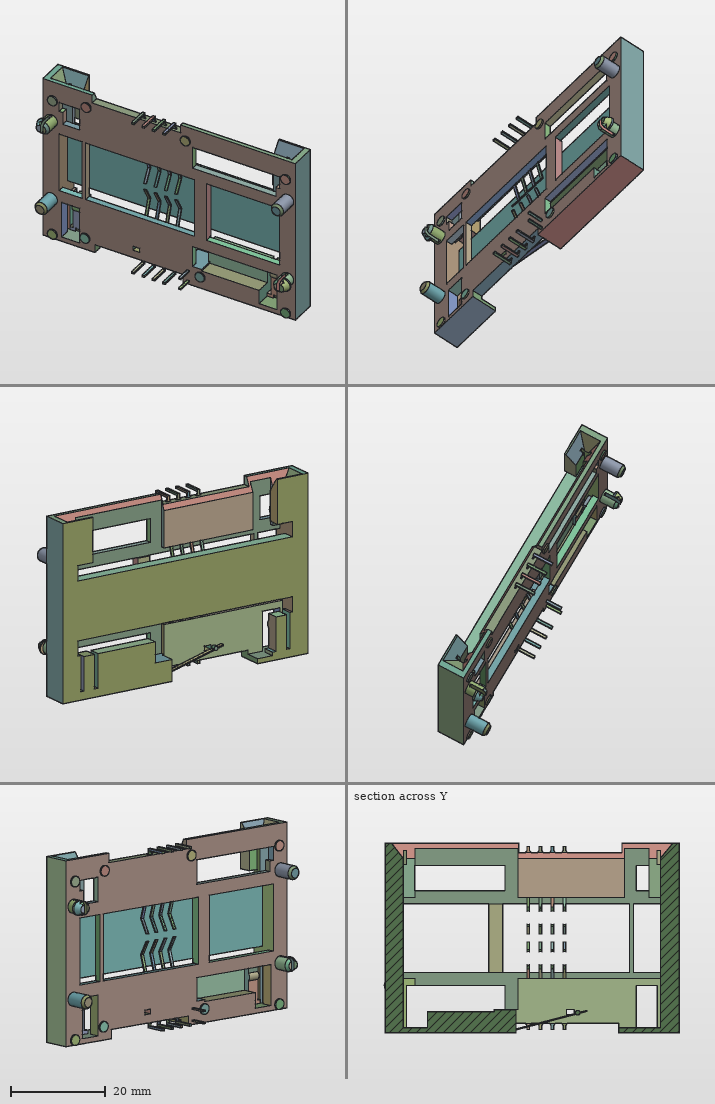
import cadquery as cq


WIDTH = 62.0
DEPTH = 6.2
HEIGHT = 40.0

SLOT_LEFT = 4.0
SLOT_RIGHT = 58.16
SLOT_FRONT = 2.45
SLOT_BACK = 3.4
MOUTH_SIDE_WALL = 1.35
MOUTH_FRONT_WALL = 0.95
MOUTH_BACK_WALL = 0.4
LEAD_IN_DEPTH = 3.2
FLOOR = 1.13
GROOVE_WIDTH = 0.65
GROOVE_FRONT = 1.7
GROOVE_BACK = 4.1
GROOVE_BOTTOM = 35.5

NOTCH_DEPTH = 2.0
TOP_NOTCH_LEFT = 12.1
TOP_NOTCH_RIGHT = 33.8
BOTTOM_NOTCH_LEFT = 12.8
BOTTOM_NOTCH_RIGHT = 34.4

RECESS_FRONT = 1.47
BAR_BACK = 1.9
RECESS_BOTTOM = 11.5
RECESS_TOP = 28.5
LEFT_RECESS_START = 6.4
LEFT_RECESS_END = 11.5
RIGHT_RECESS_START = 33.95
RIGHT_RECESS_END = 55.75
UPPER_WINDOW_BOTTOM = 30.0
UPPER_WINDOW_TOP = 35.27
MIDDLE_WINDOW_BOTTOM = 12.76
MIDDLE_WINDOW_TOP = 27.2
MIDDLE_WINDOWS = [(SLOT_LEFT, 9.6), (10.54, 37.19), (40.2, SLOT_RIGHT)]
LOWER_WINDOW_TOP = 9.94
LEFT_WINDOW_RIGHT = 9.04
RIGHT_WINDOW_LEFT = 36.77
LEFT_STEP_X = 4.9
LEFT_STEP_Z = 33.0
RIGHT_STEP_X = 57.2
RIGHT_STEP_Z = 32.27
SWITCH_WINDOW = (22.15, 23.75)
SWITCH_WINDOW_BOTTOM = 3.9
SWITCH_WINDOW_TOP = 4.9

BACK_NOTCH_LEFT = 7.76
BACK_NOTCH_RIGHT = 54.4
BAND_BOTTOM = 13.3
BAND_TOP = 26.6
BLOCK_LEFT = 38.65
BLOCK_STEP_X = 39.0
BLOCK_RIGHT = 53.1
BLOCK_TOP = 9.56
BLOCK_FLOOR = 4.5
SHELF_FLOOR = 4.88

CLIP_WIDTH = 2.65
CLIP_LEFTS = [5.45, 54.05]
CLIP_SLOTS = [(4.65, LEFT_WINDOW_RIGHT), (BLOCK_RIGHT, 57.45)]
CLIP_FRONT = 3.3
CLIP_TOP = BLOCK_TOP
CLIP_BASE_TOP = 1.9
CLIP_NOTCH_WIDTH = 1.5
BUMP_BOTTOM = 6.35
BUMP_TOP = 8.05
BUMP_RISE = 0.4

PEG_RADIUS = 1.5
PEG_LENGTH = 4.8
PEG_TIP_RADIUS = 1.05
PEG_TIP_LENGTH = 0.6
PEG_LEFT = 2.1
PEG_RIGHT = 60.1
PEG_LOW = 10.0
PEG_HIGH = 30.0
SNAP_LENGTH = 3.95
SNAP_TIP_LENGTH = 0.7
SNAP_TIP_RADIUS = 1.0
BARB_RADIUS = 1.55
BARB_SHIFT = 0.54
BARB_START = 2.1
BARB_RIM = 0.4
BARB_TIP_RADIUS = 0.85
SPLIT_WIDTH = 0.65
SPLIT_START = 0.35

PAD_RADIUS = 1.15
PAD_HEIGHT = 0.35
PAD_CENTERS = [
    (2.44, 35.27), (10.73, 36.47), (35.08, 36.47), (59.7, 35.27),
    (2.44, 1.16), (10.43, 2.96), (38.69, 2.96), (59.7, 1.16),
]

CONTACT_COUNT = 4
CONTACT_PITCH = 2.54
FIRST_CONTACT_X = 24.2
CONTACT_WIDTH = 0.6
CONTACT_THICKNESS = 0.3
CONTACT_ROOT_Y = 1.55
CONTACT_ROOT_Z = 11.0
CONTACT_BEND_Y = 3.1
CONTACT_BEND_Z = 16.1
CONTACT_TIP_Y = 1.4
CONTACT_TIP_Z = 19.2
PIN_REACH = 3.55
PIN_TAIL_Y = 0.95
PIN_BOTTOM = 0.7
PIN_TOP = 1.15
FLARE_WIDTH = 1.2
FLARE_END = 1.55
SWITCH_PIN_X = 35.7
SWITCH_PIN_CENTERS = [3.45, 0.85]

LEAF_TIP_X = 19.5
LEAF_TIP_Z = 4.5
LEAF_ROOT_Z = 0.6
LEAF_THICKNESS = 0.25
LEAF_BEAD_X = 21.4
LEAF_BEAD_RADIUS = 0.5


def box(x0, x1, y0, y1, z0, z1):
    """Box between opposite corners."""
    return cq.Workplane("XY").box(x1 - x0, y1 - y0, z1 - z0, centered=False).translate((x0, y0, z0))


def prism_along_y(points, y0, y1):
    """Polygon of (x, z) points extruded from y0 to y1."""
    return cq.Workplane("XZ", origin=(0, y0, 0)).polyline(points).close().extrude(y0 - y1)


def prism_along_x(points, x0, x1):
    """Polygon of (y, z) points extruded from x0 to x1."""
    return cq.Workplane("YZ", origin=(x0, 0, 0)).polyline(points).close().extrude(x1 - x0)


def lead_in():
    """Funnel that narrows from the top mouth to the card slot."""
    mouth_right = WIDTH - MOUTH_SIDE_WALL
    mouth_back = DEPTH - MOUTH_BACK_WALL
    return (
        cq.Workplane("XY", origin=(0, 0, HEIGHT))
        .moveTo((MOUTH_SIDE_WALL + mouth_right) / 2, (MOUTH_FRONT_WALL + mouth_back) / 2)
        .rect(mouth_right - MOUTH_SIDE_WALL, mouth_back - MOUTH_FRONT_WALL)
        .workplane(offset=-LEAD_IN_DEPTH)
        .moveTo((SLOT_LEFT + SLOT_RIGHT) / 2, (SLOT_FRONT + SLOT_BACK) / 2)
        .rect(SLOT_RIGHT - SLOT_LEFT, SLOT_BACK - SLOT_FRONT)
        .loft(combine=True)
    )


def cut_card_slot(body):
    slot = prism_along_y(
        [
            (SLOT_LEFT, HEIGHT), (SLOT_LEFT, FLOOR), (BOTTOM_NOTCH_RIGHT, FLOOR),
            (BOTTOM_NOTCH_RIGHT, SHELF_FLOOR), (BLOCK_STEP_X, SHELF_FLOOR), (BLOCK_STEP_X, BLOCK_FLOOR),
            (BLOCK_RIGHT, BLOCK_FLOOR), (BLOCK_RIGHT, FLOOR), (SLOT_RIGHT, FLOOR), (SLOT_RIGHT, HEIGHT),
        ],
        SLOT_FRONT,
        SLOT_BACK,
    )
    body = body.cut(slot).cut(lead_in())
    for x in (SLOT_LEFT, SLOT_RIGHT - GROOVE_WIDTH):
        body = body.cut(box(x, x + GROOVE_WIDTH, GROOVE_FRONT, GROOVE_BACK, GROOVE_BOTTOM, HEIGHT))
    return body


def cut_front_plate(body):
    body = body.cut(box(TOP_NOTCH_LEFT, TOP_NOTCH_RIGHT, 0, SLOT_BACK, HEIGHT - NOTCH_DEPTH, HEIGHT))
    body = body.cut(box(BOTTOM_NOTCH_LEFT, BOTTOM_NOTCH_RIGHT, 0, SLOT_FRONT, 0, NOTCH_DEPTH))

    body = body.cut(box(SLOT_LEFT, SLOT_RIGHT, RECESS_FRONT, SLOT_FRONT, RECESS_BOTTOM, RECESS_TOP))
    body = body.cut(box(LEFT_RECESS_START, LEFT_RECESS_END, RECESS_FRONT, SLOT_FRONT, RECESS_TOP, HEIGHT))
    body = body.cut(prism_along_y(
        [
            (RIGHT_RECESS_START, HEIGHT), (RIGHT_RECESS_START, SHELF_FLOOR), (BLOCK_STEP_X, SHELF_FLOOR),
            (BLOCK_STEP_X, BLOCK_FLOOR), (BLOCK_RIGHT, BLOCK_FLOOR), (BLOCK_RIGHT, FLOOR),
            (RIGHT_RECESS_END, FLOOR), (RIGHT_RECESS_END, HEIGHT),
        ],
        RECESS_FRONT,
        SLOT_FRONT,
    ))

    bar_left = MIDDLE_WINDOWS[1][1]
    bar_right = MIDDLE_WINDOWS[2][0]
    bar = box(bar_left, bar_right, RECESS_FRONT, BAR_BACK, MIDDLE_WINDOW_BOTTOM, MIDDLE_WINDOW_TOP)
    body = body.union(bar)

    body = body.cut(prism_along_y(
        [
            (SLOT_LEFT, UPPER_WINDOW_TOP), (SLOT_LEFT, LEFT_STEP_Z), (LEFT_STEP_X, LEFT_STEP_Z),
            (LEFT_STEP_X, UPPER_WINDOW_BOTTOM), (LEFT_WINDOW_RIGHT, UPPER_WINDOW_BOTTOM),
            (LEFT_WINDOW_RIGHT, UPPER_WINDOW_TOP),
        ],
        0,
        RECESS_FRONT,
    ))
    body = body.cut(prism_along_y(
        [
            (RIGHT_WINDOW_LEFT, UPPER_WINDOW_TOP), (RIGHT_WINDOW_LEFT, UPPER_WINDOW_BOTTOM),
            (RIGHT_STEP_X, UPPER_WINDOW_BOTTOM), (RIGHT_STEP_X, RIGHT_STEP_Z),
            (SLOT_RIGHT, RIGHT_STEP_Z), (SLOT_RIGHT, UPPER_WINDOW_TOP),
        ],
        0,
        RECESS_FRONT,
    ))

    for x0, x1 in MIDDLE_WINDOWS:
        body = body.cut(box(x0, x1, 0, SLOT_FRONT, MIDDLE_WINDOW_BOTTOM, MIDDLE_WINDOW_TOP))

    for x0, x1 in CLIP_SLOTS:
        body = body.cut(box(x0, x1, 0, SLOT_FRONT, FLOOR, LOWER_WINDOW_TOP))
    body = body.cut(box(RIGHT_WINDOW_LEFT, BLOCK_STEP_X, 0, SLOT_FRONT, SHELF_FLOOR, LOWER_WINDOW_TOP))
    body = body.cut(box(BLOCK_STEP_X, BLOCK_RIGHT, 0, SLOT_FRONT, BLOCK_FLOOR, LOWER_WINDOW_TOP))
    return body.cut(box(*SWITCH_WINDOW, 0, SLOT_FRONT, SWITCH_WINDOW_BOTTOM, SWITCH_WINDOW_TOP))


def cut_back_wall(body):
    openings = [
        (BACK_NOTCH_LEFT, BACK_NOTCH_RIGHT, BAND_TOP, HEIGHT),
        (SLOT_LEFT, SLOT_RIGHT, BAND_TOP, UPPER_WINDOW_BOTTOM),
        (SLOT_LEFT, SLOT_RIGHT, LOWER_WINDOW_TOP, BAND_BOTTOM),
        (CLIP_SLOTS[0][0], CLIP_SLOTS[1][1], BLOCK_TOP, BAND_BOTTOM),
        (CLIP_SLOTS[0][0], BOTTOM_NOTCH_RIGHT, FLOOR, BAND_BOTTOM),
        (BOTTOM_NOTCH_RIGHT, BLOCK_LEFT, SHELF_FLOOR, BAND_BOTTOM),
        (BLOCK_RIGHT, CLIP_SLOTS[1][1], FLOOR, BAND_BOTTOM),
    ]
    for x0, x1, z0, z1 in openings:
        body = body.cut(box(x0, x1, SLOT_BACK, DEPTH, z0, z1))
    return body.cut(box(BOTTOM_NOTCH_LEFT, BOTTOM_NOTCH_RIGHT, SLOT_FRONT, DEPTH, 0, FLOOR))


def clip(left, slot):
    """Upright spring clip with a rounded detent, standing on a base across its slot."""
    right = left + CLIP_WIDTH
    middle = left + CLIP_WIDTH / 2
    profile = (
        cq.Workplane("YZ", origin=(left, 0, 0))
        .moveTo(DEPTH, FLOOR)
        .lineTo(CLIP_FRONT, FLOOR)
        .lineTo(CLIP_FRONT, BUMP_BOTTOM)
        .threePointArc((CLIP_FRONT - BUMP_RISE, (BUMP_BOTTOM + BUMP_TOP) / 2), (CLIP_FRONT, BUMP_TOP))
        .lineTo(CLIP_FRONT, CLIP_TOP)
        .lineTo(DEPTH, CLIP_TOP)
        .close()
        .extrude(right - left)
    )
    base = box(slot[0], slot[1], CLIP_FRONT, DEPTH, 0, CLIP_BASE_TOP)
    notch = box(
        middle - CLIP_NOTCH_WIDTH / 2, middle + CLIP_NOTCH_WIDTH / 2,
        CLIP_FRONT, CLIP_FRONT + BUMP_RISE, FLOOR, CLIP_BASE_TOP,
    )
    return profile.union(base).cut(notch)


def turned(profile):
    """Solid of revolution about the Y axis from (radius, y) points."""
    return cq.Workplane("XY").polyline(profile).close().revolve(360, (0, 0, 0), (0, 1, 0))


def tipped_peg(length, tip_length, tip_radius):
    """Round peg along -Y with a conical tip."""
    return turned([
        (0, 0), (PEG_RADIUS, 0), (PEG_RADIUS, tip_length - length), (tip_radius, -length), (0, -length),
    ])


def peg(x, z):
    """Plain locating peg."""
    return tipped_peg(PEG_LENGTH, PEG_TIP_LENGTH, PEG_TIP_RADIUS).translate((x, 0, z))


def snap_peg(x, z, side):
    """Split peg with an offset conical barb on its outer half; side is -1 (left) or +1 (right)."""
    barb = turned([
        (0, -BARB_START), (BARB_RADIUS, -BARB_START), (BARB_RADIUS, -BARB_START - BARB_RIM),
        (BARB_TIP_RADIUS, -SNAP_LENGTH), (0, -SNAP_LENGTH),
    ]).translate((side * BARB_SHIFT, 0, 0))
    outer_x = side * (BARB_RADIUS + BARB_SHIFT)
    outer_half = box(min(0, outer_x), max(0, outer_x), -SNAP_LENGTH, 0, -BARB_RADIUS, BARB_RADIUS)
    split = box(-SPLIT_WIDTH / 2, SPLIT_WIDTH / 2, -SNAP_LENGTH, -SPLIT_START, -BARB_RADIUS, BARB_RADIUS)
    shaft = tipped_peg(SNAP_LENGTH, SNAP_TIP_LENGTH, SNAP_TIP_RADIUS)
    return shaft.union(barb.intersect(outer_half)).cut(split).translate((x, 0, z))


def pad(x, z):
    return cq.Workplane("XZ").center(x, z).circle(PAD_RADIUS).extrude(PAD_HEIGHT)


def contact(x):
    """Lower contact: bent spring arm plus a flared tail and a pin to -Y."""
    half = CONTACT_WIDTH / 2
    t = CONTACT_THICKNESS
    arm = prism_along_x(
        [
            (CONTACT_ROOT_Y, CONTACT_ROOT_Z), (CONTACT_BEND_Y, CONTACT_BEND_Z),
            (CONTACT_TIP_Y, CONTACT_TIP_Z),
            (CONTACT_TIP_Y + t, CONTACT_TIP_Z), (CONTACT_BEND_Y + t, CONTACT_BEND_Z),
            (CONTACT_ROOT_Y + t, CONTACT_ROOT_Z),
        ],
        x - half,
        x + half,
    )
    flare_half = FLARE_WIDTH / 2
    tail = prism_along_y(
        [
            (x - flare_half, NOTCH_DEPTH), (x - half, FLARE_END), (x - half, PIN_BOTTOM),
            (x + half, PIN_BOTTOM), (x + half, FLARE_END), (x + flare_half, NOTCH_DEPTH),
        ],
        PIN_TAIL_Y - t,
        PIN_TAIL_Y,
    )
    pin = box(x - half, x + half, -PIN_REACH, PIN_TAIL_Y, PIN_BOTTOM, PIN_TOP)
    return arm.union(tail).union(pin)


def switch_leaf():
    """Sloping leaf spring with a round contact bead, lying across the bottom of the card slot."""
    strip = prism_along_y(
        [
            (BOTTOM_NOTCH_RIGHT, LEAF_ROOT_Z), (LEAF_TIP_X, LEAF_TIP_Z),
            (LEAF_TIP_X, LEAF_TIP_Z + LEAF_THICKNESS), (BOTTOM_NOTCH_RIGHT, LEAF_ROOT_Z + LEAF_THICKNESS),
        ],
        SLOT_FRONT,
        SLOT_BACK,
    )
    slope = (LEAF_ROOT_Z - LEAF_TIP_Z) / (BOTTOM_NOTCH_RIGHT - LEAF_TIP_X)
    bead_z = LEAF_TIP_Z + slope * (LEAF_BEAD_X - LEAF_TIP_X) + LEAF_THICKNESS
    bead = (
        cq.Workplane("XZ", origin=(LEAF_BEAD_X, SLOT_FRONT, bead_z))
        .circle(LEAF_BEAD_RADIUS)
        .extrude(SLOT_FRONT - SLOT_BACK)
    )
    return strip.union(bead)


def switch_pin(z):
    half = CONTACT_WIDTH / 2
    half_thickness = CONTACT_THICKNESS / 2
    return box(
        SWITCH_PIN_X - half, SWITCH_PIN_X + half, -PIN_REACH, 0, z - half_thickness, z + half_thickness,
    )


body = box(0, WIDTH, 0, DEPTH, 0, HEIGHT)
body = cut_card_slot(body)
body = cut_front_plate(body)
body = cut_back_wall(body)

for clip_left, clip_slot in zip(CLIP_LEFTS, CLIP_SLOTS):
    body = body.union(clip(clip_left, clip_slot))

body = body.union(peg(PEG_LEFT, PEG_LOW)).union(peg(PEG_RIGHT, PEG_HIGH))
body = body.union(snap_peg(PEG_LEFT, PEG_HIGH, -1)).union(snap_peg(PEG_RIGHT, PEG_LOW, 1))

for pad_x, pad_z in PAD_CENTERS:
    body = body.union(pad(pad_x, pad_z))

for index in range(CONTACT_COUNT):
    lower = contact(FIRST_CONTACT_X + index * CONTACT_PITCH)
    upper = lower.mirror("XY", (0, 0, HEIGHT / 2))
    body = body.union(lower).union(upper)

body = body.union(switch_leaf())
for pin_z in SWITCH_PIN_CENTERS:
    body = body.union(switch_pin(pin_z))

result = body